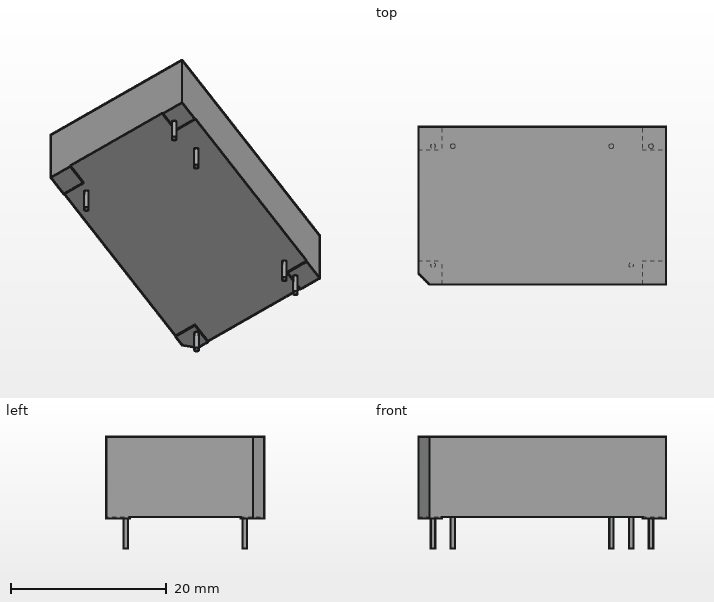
import cadquery as cq

length = 31.8
width = 20.3
total_height = 14.4
pin_length = 3.88
corner_chamfer = 1.43

foot_size = 3.02
foot_height = 0.2

pin_diameter = 0.6
pin_pitch = 2.55
first_pin_inset = 1.88
pitches_between_rows = 6
front_row_slots = (0, 10)
back_row_slots = (0, 1, 9, 11)


def make_case():
    """Block standing on Z = 0 with one chamfered vertical edge and four corner feet."""
    block = cq.Workplane("XY").box(
        length, width, total_height - pin_length, centered=(True, True, False)
    )
    block = block.edges("|Z and <X and <Y").chamfer(corner_chamfer)
    relief_along_x = cq.Workplane("XY").box(
        length, width - 2 * foot_size, foot_height, centered=(True, True, False)
    )
    relief_along_y = cq.Workplane("XY").box(
        length - 2 * foot_size, width, foot_height, centered=(True, True, False)
    )
    return block.cut(relief_along_x).cut(relief_along_y)


def make_pins():
    """Round pins hanging from the relieved underside, in two rows."""
    first_x = first_pin_inset - length / 2
    row_y = pitches_between_rows * pin_pitch / 2
    points = []
    for y, slots in ((-row_y, front_row_slots), (row_y, back_row_slots)):
        for slot in slots:
            points.append((first_x + slot * pin_pitch, y))
    return (
        cq.Workplane("XY", origin=(0, 0, -pin_length))
        .pushPoints(points)
        .circle(pin_diameter / 2)
        .extrude(pin_length + foot_height)
    )


result = make_case().union(make_pins())